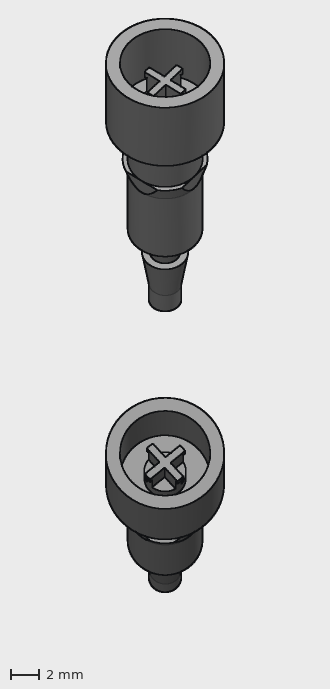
import cadquery as cq

total_height = 25.4
head_bottom = 19.13
collar_top = 15.11
collar_bottom = 13.87
body_bottom = 7.62
barb_top = 5.08
barb_bottom = 1.75

head_diameter = 8.4
body_diameter = 5.33
collar_diameter = 6.05
neck_top_diameter = 2.97
neck_bottom_diameter = 2.15
barb_diameter = 3.3
tip_diameter = 2.34

socket_diameter = 6.4
socket_floor = head_bottom + 1.27
post_top = 23.52
fin_lip_height = 0.53
post_core_diameter = 2.97
post_core_top = 21.6
fin_span = 3.33
fin_thickness = 0.55


def cylinder(diameter, bottom, top):
    """Vertical cylinder between two heights."""
    return cq.Workplane("XY").workplane(offset=bottom).circle(diameter / 2).extrude(top - bottom)


def stepped_body():
    """Solid stepped body of the fitting, turned about Z."""
    profile = [
        (0, 0),
        (tip_diameter / 2, 0),
        (tip_diameter / 2, barb_bottom),
        (barb_diameter / 2, barb_top),
        (neck_bottom_diameter / 2, barb_top),
        (neck_top_diameter / 2, body_bottom),
        (body_diameter / 2, body_bottom),
        (body_diameter / 2, head_bottom),
        (head_diameter / 2, head_bottom),
        (head_diameter / 2, total_height),
        (0, total_height),
    ]
    return cq.Workplane("XZ").polyline(profile).close().revolve(360, (0, 0), (0, 1))


def flatted_collar():
    """Conical collar trimmed by four flats level with the body sides."""
    profile = [
        (0, collar_bottom),
        (body_diameter / 2, collar_bottom),
        (collar_diameter / 2, collar_top),
        (0, collar_top),
    ]
    cone = cq.Workplane("XZ").polyline(profile).close().revolve(360, (0, 0), (0, 1))
    square = (
        cq.Workplane("XY")
        .workplane(offset=collar_bottom)
        .rect(body_diameter, body_diameter)
        .extrude(collar_top - collar_bottom)
    )
    return cone.intersect(square)


def cross_post():
    """Round core carrying two crossed fins with a wider lip at their top ends."""
    post = cylinder(post_core_diameter, socket_floor, post_core_top)
    fin_stem = cylinder(post_core_diameter, socket_floor, post_top)
    fin_lip = cylinder(fin_span, post_top - fin_lip_height, post_top)
    envelope = fin_stem.union(fin_lip)
    for angle in (0, 90):
        fin = (
            cq.Workplane("XY")
            .workplane(offset=socket_floor)
            .rect(fin_span, fin_thickness)
            .extrude(post_top - socket_floor)
            .rotate((0, 0, 0), (0, 0, 1), angle)
        )
        post = post.union(fin.intersect(envelope))
    return post


socket = cylinder(socket_diameter, socket_floor, total_height)
result = stepped_body().union(flatted_collar()).cut(socket).union(cross_post())